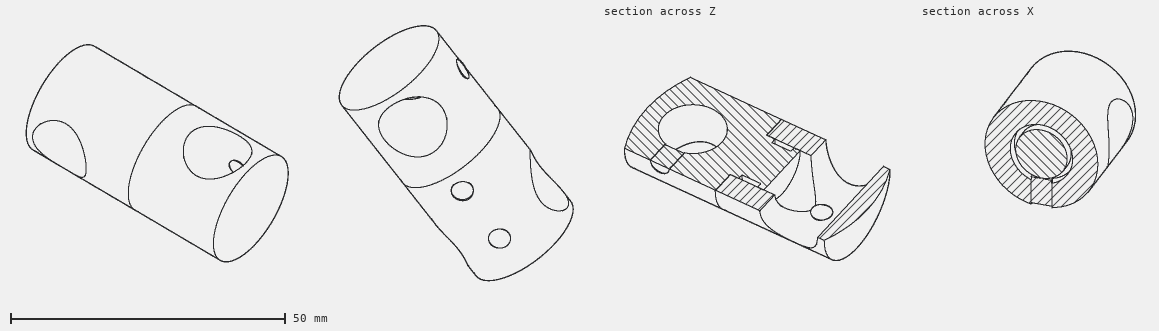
import cadquery as cq

length = 48.0
diameter = 22.0
radius = diameter / 2
cap_height = 2.25
split_x = 1.95

bore_diameter = 12.5
bore_x = 14.0

spigot_diameter = 12.0
spigot_length = 7.4
groove_depth = 0.95

screw_diameter = 4.05
joint_screw_x = -1.95
joint_screw_recess = 0.5
clamp_tip_protrusion = 0.2

bore_radius = bore_diameter / 2
spigot_radius = spigot_diameter / 2
spigot_end_x = split_x - spigot_length
groove_radius = spigot_radius - groove_depth


def x_cylinder(cylinder_diameter, start_x, end_x):
    """Cylinder on the X axis between two X positions."""
    disc = cq.Workplane("YZ", origin=(start_x, 0, 0)).circle(cylinder_diameter / 2)
    return disc.extrude(end_x - start_x)


def z_cylinder(cylinder_diameter, x, start_z, end_z):
    """Cylinder parallel to Z between two heights."""
    disc = cq.Workplane("XY", origin=(x, 0, start_z)).circle(cylinder_diameter / 2)
    return disc.extrude(end_z - start_z)


def quarter_turn(shape):
    """Rotate about X so that a feature on the -Z side lands on the +Y side."""
    return shape.rotate((0, 0, 0), (1, 0, 0), 90)


def domed_half(side):
    """Half of the housing whose domed end points to +X (side 1) or -X (side -1)."""
    tip_x = side * length / 2
    shoulder_x = side * (length / 2 - cap_height)
    dome_radius = (radius**2 + cap_height**2) / (2 * cap_height)
    mid_r = radius / 2
    mid_x = side * (length / 2 - dome_radius + (dome_radius**2 - mid_r**2) ** 0.5)
    return (
        cq.Workplane("XY")
        .moveTo(split_x, 0)
        .lineTo(split_x, radius)
        .lineTo(shoulder_x, radius)
        .threePointArc((mid_x, mid_r), (tip_x, 0))
        .close()
        .revolve(360, (0, 0, 0), (1, 0, 0))
    )


def clamp_screw(x):
    return z_cylinder(screw_diameter, x, -radius, clamp_tip_protrusion - bore_radius)


def joint_screw():
    return z_cylinder(screw_diameter, joint_screw_x, joint_screw_recess - radius, -groove_radius)


def first_half():
    half = domed_half(-1)
    half = half.cut(x_cylinder(spigot_diameter, -bore_x, split_x))
    half = half.cut(quarter_turn(z_cylinder(bore_diameter, -bore_x, -radius, radius)))
    half = half.cut(z_cylinder(screw_diameter, -bore_x, -radius, 0))
    return half.cut(z_cylinder(screw_diameter, joint_screw_x, -radius, 0))


def second_half():
    spigot = x_cylinder(spigot_diameter, spigot_end_x, split_x)
    groove_start = joint_screw_x - screw_diameter / 2
    groove_end = joint_screw_x + screw_diameter / 2
    groove = x_cylinder(spigot_diameter, groove_start, groove_end)
    groove = groove.cut(x_cylinder(2 * groove_radius, groove_start, groove_end))
    half = domed_half(1).union(spigot.cut(groove))
    half = half.cut(z_cylinder(bore_diameter, bore_x, -radius, radius))
    return half.cut(quarter_turn(z_cylinder(screw_diameter, bore_x, -radius, 0)))


result = cq.Compound.makeCompound([
    first_half().val(),
    second_half().val(),
    clamp_screw(-bore_x).val(),
    quarter_turn(clamp_screw(bore_x)).val(),
    joint_screw().val(),
])